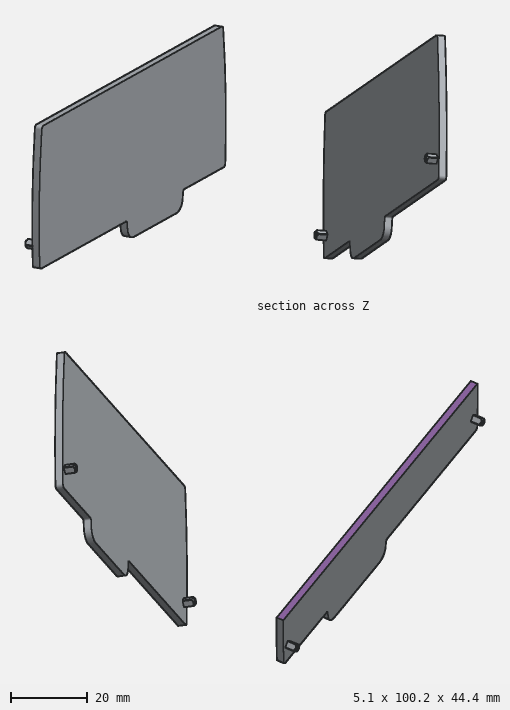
import cadquery as cq
import math

plate_thickness = 2.1
plate_width = 100.2
plate_height = 39.0
corner_radius = 1.0
widest_height = 12.5
side_arc_radius = 230.5

tab_center_y = 12.1
tab_root_width = 30.3
tab_depth = 5.4
tab_draft = 8.0
tab_root_radius = 0.5
tab_corner_radius = 3.4

pin_side = 2.0
pin_diameter = 2.6
pin_length = 3.0
pin_tip_chamfer = 0.5
pin_spacing = 95.4
pin_height = 5.8

overlap = 1.0


def side_inset(height):
    """Distance the bowed side lies inside the full width at a given height."""
    rise = height - widest_height
    return side_arc_radius - math.sqrt(side_arc_radius**2 - rise**2)


def make_plate():
    """Plate whose two sides are shallow arcs, widest near the lower third."""
    half_width = plate_width / 2
    half_bottom = half_width - side_inset(0)
    half_top = half_width - side_inset(plate_height)
    return (
        cq.Workplane("YZ")
        .moveTo(-half_bottom, 0)
        .lineTo(half_bottom, 0)
        .threePointArc((half_width, widest_height), (half_top, plate_height))
        .lineTo(-half_top, plate_height)
        .threePointArc((-half_width, widest_height), (-half_bottom, 0))
        .close()
        .extrude(plate_thickness)
        .edges("|X and (<Z or >Z)")
        .fillet(corner_radius)
    )


def make_tab():
    """Tapered tab with rounded lower corners, reaching up into the plate."""
    taper = math.tan(math.radians(tab_draft))
    half_bottom = tab_root_width / 2 - tab_depth * taper
    half_upper = tab_root_width / 2 + overlap * taper
    return (
        cq.Workplane("YZ")
        .polyline([
            (tab_center_y - half_bottom, -tab_depth),
            (tab_center_y + half_bottom, -tab_depth),
            (tab_center_y + half_upper, overlap),
            (tab_center_y - half_upper, overlap),
        ])
        .close()
        .extrude(plate_thickness)
        .edges("|X and <Z")
        .fillet(tab_corner_radius)
    )


def round_tab_root(body):
    """Fillet the two inner corners where the tab sides meet the plate's bottom edge."""
    root_zone = cq.selectors.BoxSelector(
        (-overlap, tab_center_y - tab_root_width / 2 - overlap, -overlap),
        (plate_thickness + overlap, tab_center_y + tab_root_width / 2 + overlap, overlap),
    )
    return body.edges("|X").edges(root_zone).fillet(tab_root_radius)


def make_pin(center_y):
    """Round pin with a conical tip, cut to a square with one diagonal vertical."""
    full_length = pin_length + overlap
    round_pin = (
        cq.Workplane("YZ")
        .circle(pin_diameter / 2)
        .extrude(full_length)
        .faces("<X")
        .chamfer(pin_tip_chamfer)
    )
    square_bar = (
        cq.Workplane("YZ")
        .rect(pin_side, pin_side)
        .extrude(full_length)
        .rotate((0, 0, 0), (1, 0, 0), 45)
    )
    return round_pin.intersect(square_bar).translate((-pin_length, center_y, pin_height))


result = round_tab_root(make_plate().union(make_tab()))
for pin_y in (-pin_spacing / 2, pin_spacing / 2):
    result = result.union(make_pin(pin_y))